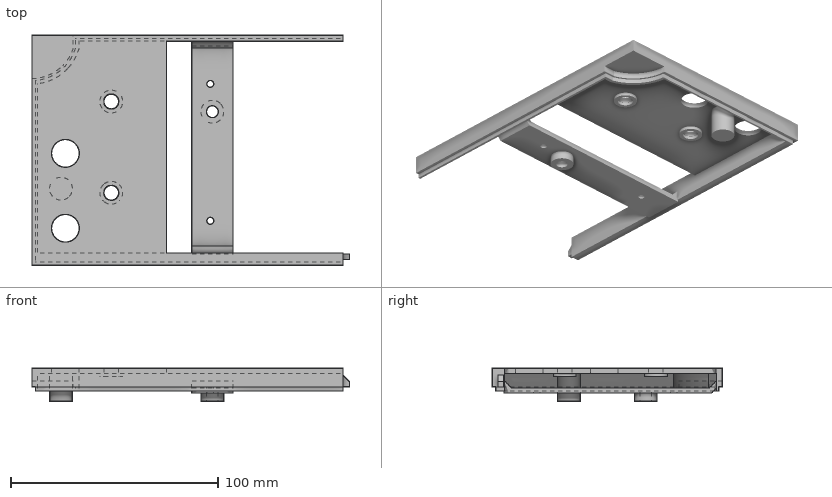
import cadquery as cq
import math

length = 150.0
width = 111.0
plate_thickness = 2.5
body_depth = 9.0
rim_depth = 11.0
total_depth = 15.95
rim_inset = 1.7
wall = 2.7

window_x = 65.0
front_arm_width = 6.0
back_arm_width = 3.0
back_wall_recess = 0.1
window_back_y = width - back_arm_width
back_wall_y = window_back_y + back_wall_recess

notch_top_depth = 6.1
notch_radius = 20.9
notch_flat_x = 19.9
rim_notch_clearance = 1.0

bar_x = 77.0
bar_width = 20.0
bar_top_depth = 9.5
bar_thickness = 2.5
bar_bottom_depth = bar_top_depth + bar_thickness
bar_front_y = 5.6
bar_slope_run = 3.4
bar_bend_angle = 45.0

pin_diameter = 11.0
pin_bore = 5.6
plate_pin = (14.0, 37.0)
bar_pin = (bar_x + bar_width / 2, 74.1)
small_hole_diameter = 3.2
small_holes = [(86.0, 21.5), (86.0, 87.5)]
large_hole_diameter = 13.25
large_holes = [(16.15, 17.9), (16.15, 54.0)]
collar_hole_diameter = 7.0
collar_bore = 7.4
collar_depth = 4.0
collar_holes = [(38.25, 35.0), (38.25, 79.0)]

tab_length = 3.15
tab_y = 2.75
tab_width = 2.75
tab_top_depth = 3.3


def block(x0, x1, y0, y1, z0, z1):
    """Box between the given limits."""
    return cq.Workplane("XY").box(x1 - x0, y1 - y0, z1 - z0, centered=False).translate((x0, y0, z0))


def cylinders(points, diameter, z0, z1):
    """Vertical cylinders between two heights."""
    return cq.Workplane("XY").workplane(offset=z0).pushPoints(points).circle(diameter / 2).extrude(z1 - z0)


def corner_sector(growth, z0, z1):
    """Disc about the rear left corner, cut off at the notch flat, enlarged by growth."""
    disc = cylinders([(0, width)], 2 * (notch_radius + growth), z0, z1)
    reach = notch_radius + growth
    return disc.intersect(block(-reach, notch_flat_x + growth, width - reach, width + reach, z0, z1))


def make_shell():
    """U-shaped tray: thin top plate, side walls and an inset lower rim."""
    shell = block(0, length, 0, width, -body_depth, 0)
    shell = shell.union(block(rim_inset, length, rim_inset, width - rim_inset, -rim_depth, -body_depth))
    shell = shell.cut(block(window_x, length, front_arm_width, window_back_y, -rim_depth, 0))

    cavity = block(wall, length, front_arm_width, back_wall_y, -rim_depth, -plate_thickness)
    footprint = block(0, length, 0, width, -rim_depth, -plate_thickness)
    notch_wall = corner_sector(wall, -rim_depth, -plate_thickness).intersect(footprint)
    shell = shell.cut(cavity.cut(notch_wall))

    shell = shell.cut(corner_sector(0, -body_depth, -notch_top_depth))
    return shell.cut(corner_sector(rim_notch_clearance, -rim_depth, -body_depth))


def make_bar():
    """Cross bar: bent up to the back wall, with a sloped foot against the front arm."""
    back_bend_y = back_wall_y - bar_slope_run
    bottom_bend_y = back_bend_y + bar_thickness * math.tan(math.radians(bar_bend_angle / 2))
    slope = math.tan(math.radians(bar_bend_angle))
    top_rise = bar_slope_run * slope
    bottom_rise = (back_wall_y - bottom_bend_y) * slope
    outline = [
        (bar_front_y, -bar_bottom_depth),
        (bottom_bend_y, -bar_bottom_depth),
        (back_wall_y, bottom_rise - bar_bottom_depth),
        (back_wall_y, top_rise - bar_top_depth),
        (back_bend_y, -bar_top_depth),
        (front_arm_width + bar_slope_run, -bar_top_depth),
        (front_arm_width, top_rise - bar_top_depth),
        (bar_front_y, top_rise - bar_top_depth),
    ]
    return cq.Workplane("YZ").workplane(offset=bar_x).polyline(outline).close().extrude(bar_width)


def make_tab():
    """Latch tab with a 45 degree top."""
    outline = [
        (length, -body_depth),
        (length + tab_length, -body_depth),
        (length + tab_length, -tab_top_depth - tab_length),
        (length, -tab_top_depth),
    ]
    profile = cq.Workplane("XZ").workplane(offset=-tab_y).polyline(outline).close()
    return profile.extrude(-tab_width)


def add_pins_and_holes(body):
    """Two hanging pins, the bored collars and every through hole."""
    body = body.union(cylinders([plate_pin], pin_diameter, -total_depth, -plate_thickness))
    body = body.union(cylinders([bar_pin], pin_diameter, -total_depth, -bar_bottom_depth))
    body = body.union(cylinders(collar_holes, pin_diameter, -collar_depth, -plate_thickness))

    body = body.cut(cylinders(collar_holes, collar_bore, -collar_depth, -plate_thickness))
    body = body.cut(cylinders(collar_holes, collar_hole_diameter, -plate_thickness, 0))
    body = body.cut(cylinders(large_holes, large_hole_diameter, -plate_thickness, 0))
    body = body.cut(cylinders(small_holes, small_hole_diameter, -bar_bottom_depth, -bar_top_depth))
    return body.cut(cylinders([bar_pin], pin_bore, -total_depth, -bar_top_depth))


result = add_pins_and_holes(make_shell().union(make_bar()).union(make_tab()))